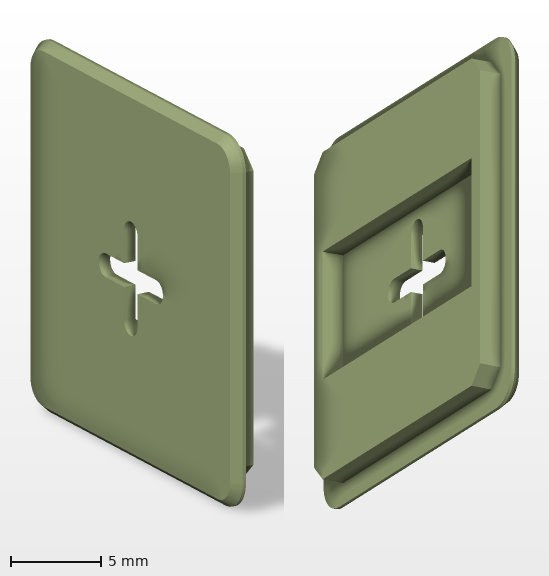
import cadquery as cq

plate_size = 21.85
total_depth = 2.03
plate_thickness = 0.75
corner_radius = 1.8
bevel_width = 0.48
bevel_depth = 0.52

block_size = 19.3
block_corner_cut = 1.0
block_depth = total_depth - plate_thickness

slot_length = 6.7
slot_width = 1.4
cross_x = 0.07
cross_z = -0.2

pocket_end_wall = 1.0
pocket_length = block_size - 2 * pocket_end_wall
pocket_height = 7.55


def rounded_square(size, radius, depth):
    """Rounded square prism centred on the origin, extruded along +Z."""
    return cq.Workplane("XY").rect(size, size).extrude(depth).edges("|Z").fillet(radius)


def make_plate():
    """Rounded plate whose front rim is bevelled."""
    plate = rounded_square(plate_size, corner_radius, plate_thickness)
    return plate.faces(">Z").chamfer(bevel_depth, bevel_width)


def make_block():
    """Square block behind the plate with its four corners cut off."""
    block = cq.Workplane("XY").rect(block_size, block_size).extrude(-block_depth)
    return block.edges("|Z").chamfer(block_corner_cut)


def make_cross():
    """Two crossing slots running through the plate."""
    level = cq.Workplane("XY").slot2D(slot_length, slot_width).extrude(plate_thickness)
    upright = level.rotate((0, 0, 0), (0, 0, 1), 90)
    return level.union(upright).translate((cross_x, cross_z, 0))


def make_pocket():
    """Pocket behind the cross, open at the rear."""
    return cq.Workplane("XY").rect(pocket_length, pocket_height).extrude(-block_depth)


cover = make_plate().union(make_block()).cut(make_pocket()).cut(make_cross())

result = cover.rotate((0, 0, 0), (1, 0, 0), 90).translate((0, plate_thickness, 0))